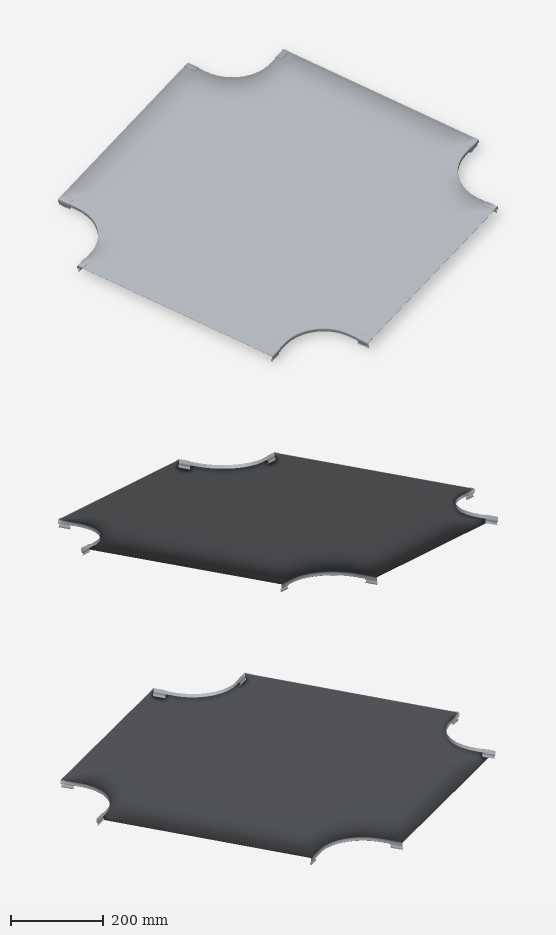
import cadquery as cq
import math

SPAN = 801.0
SHEET = 1.0
ARM_HALF_WIDTH = 251.5
CORNER_RADIUS = 100.0
BEND_RADIUS = 2.5
FLANGE_HEIGHT = 9.0

TOTAL_HEIGHT = 19.0
CLIP_LENGTH = 29.0
CLIP_PAD_EDGE = 238.0
CLIP_CLEARANCE = 0.5
LEG_LENGTH = 8.0
HOOK_ANGLE = 62
HOOK_RADIUS = 4.0

HALF_SPAN = SPAN / 2
PLATE_TOP = TOTAL_HEIGHT - SHEET
PLATE_BOTTOM = PLATE_TOP - SHEET
FLANGE_BOTTOM = PLATE_TOP - FLANGE_HEIGHT


def cross_block(inset, bottom, top):
    """Cross-shaped block whose flanged sides lie inside the outer flange face by the inset."""
    half_width = ARM_HALF_WIDTH - inset
    radius = CORNER_RADIUS + inset
    height = top - bottom
    straight_end = ARM_HALF_WIDTH + CORNER_RADIUS
    arc_middle = straight_end - radius * math.sqrt(0.5)
    block = cq.Workplane("XY", origin=(0, 0, bottom)).rect(SPAN, SPAN).extrude(height)
    corner = (
        cq.Workplane("XY", origin=(0, 0, bottom))
        .moveTo(half_width, HALF_SPAN)
        .lineTo(half_width, straight_end)
        .threePointArc((arc_middle, arc_middle), (straight_end, half_width))
        .lineTo(HALF_SPAN, half_width)
        .lineTo(HALF_SPAN, HALF_SPAN)
        .close()
        .extrude(height)
    )
    for quadrant in range(4):
        block = block.cut(corner.rotate((0, 0, 0), (0, 0, 1), 90 * quadrant))
    return block


def round_top_sides(block, radius):
    """Round the top edges of the flanged sides, leaving the four arm tips square."""
    def is_flanged_side(edge):
        centre = edge.Center()
        return max(abs(centre.x), abs(centre.y)) < HALF_SPAN - SHEET

    edges = [edge for edge in block.faces(">Z").edges().vals() if is_flanged_side(edge)]
    return block.newObject(edges).fillet(radius)


def make_cover():
    """Sheet cover: an outer block hollowed from below by a block one sheet smaller."""
    outer = round_top_sides(cross_block(0, FLANGE_BOTTOM, PLATE_TOP), BEND_RADIUS)
    inner = round_top_sides(cross_block(SHEET, FLANGE_BOTTOM, PLATE_BOTTOM), BEND_RADIUS - SHEET)
    return outer.cut(inner)


def on_circle(centre, radius, degrees):
    """Point on a circle in the YZ plane; the angle runs from +Y toward +Z."""
    angle = math.radians(degrees)
    return (centre[0] + radius * math.cos(angle), centre[1] + radius * math.sin(angle))


def make_clip():
    """Clip on the +Y side of the arm that points to +X: an extruded strip of bent sheet."""
    leg_inner = ARM_HALF_WIDTH + CLIP_CLEARANCE
    leg_outer = leg_inner + SHEET
    kink_z = TOTAL_HEIGHT - LEG_LENGTH
    bend = (leg_inner - BEND_RADIUS, PLATE_TOP - BEND_RADIUS)
    bend_outer = BEND_RADIUS + SHEET
    large = HOOK_RADIUS + SHEET / 2
    small = HOOK_RADIUS - SHEET / 2
    turn_in = (leg_outer - large, kink_z)
    turn_out = on_circle(turn_in, 2 * HOOK_RADIUS, -HOOK_ANGLE)
    inflection = 180 - HOOK_ANGLE
    toe_angle = 180 + math.degrees(math.asin(turn_out[1] / large))
    middle = (inflection + toe_angle) / 2
    profile = (
        cq.Workplane("YZ", origin=(HALF_SPAN - CLIP_LENGTH, 0, 0))
        .moveTo(CLIP_PAD_EDGE, PLATE_TOP)
        .lineTo(bend[0], PLATE_TOP)
        .threePointArc(on_circle(bend, BEND_RADIUS, 45), (leg_inner, bend[1]))
        .lineTo(leg_inner, kink_z)
        .threePointArc(on_circle(turn_in, small, -HOOK_ANGLE / 2), on_circle(turn_in, small, -HOOK_ANGLE))
        .threePointArc(on_circle(turn_out, large, middle), on_circle(turn_out, large, toe_angle))
        .lineTo(*on_circle(turn_out, small, toe_angle))
        .threePointArc(on_circle(turn_out, small, middle), on_circle(turn_out, small, inflection))
        .threePointArc(on_circle(turn_in, large, -HOOK_ANGLE / 2), (leg_outer, kink_z))
        .lineTo(leg_outer, bend[1])
        .threePointArc(on_circle(bend, bend_outer, 45), (bend[0], TOTAL_HEIGHT))
        .lineTo(CLIP_PAD_EDGE, TOTAL_HEIGHT)
        .close()
    )
    return profile.extrude(CLIP_LENGTH)


def make_clips():
    """One clip on each side of every arm tip."""
    one_side = make_clip()
    clips = []
    for clip in (one_side, one_side.mirror("XZ")):
        for quadrant in range(4):
            clips.append(clip.rotate((0, 0, 0), (0, 0, 1), 90 * quadrant).val())
    return clips


cover = make_cover()
clips = make_clips()
result = cq.Compound.makeCompound([cover.val(), *clips])